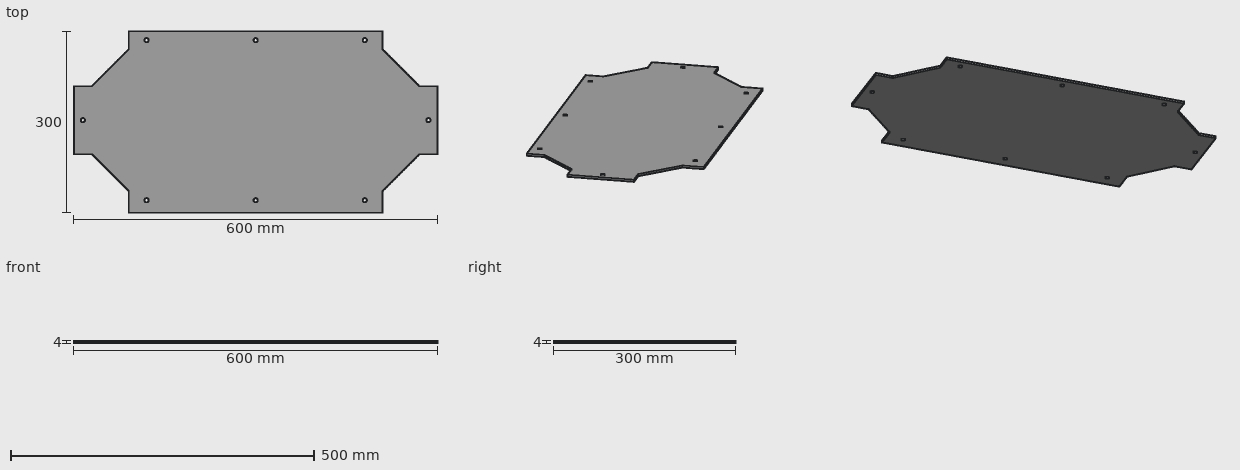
import cadquery as cq

length = 600.0
width = 300.0
thickness = 4.0

front_extension = 6.0
pattern_y = front_extension / 2

long_edge_half = 209.5
end_tab_half = 56.5
bevel = 60.5
half_length = length / 2
bevel_end_x = long_edge_half + bevel
bevel_start_y = end_tab_half + bevel

hole_diameter = 6.5
hole_edge_distance = 15.0
hole_spacing = 180.0
hole_row_y = width / 2 - hole_edge_distance - pattern_y
end_hole_x = half_length - hole_edge_distance


def plate():
    """Plate with a bevelled step at each of its four corners."""
    blank = cq.Workplane("XY").box(length, width, thickness)
    for side_x in (-1, 1):
        for side_y in (-1, 1):
            edge_y = side_y * width / 2
            tab_y = pattern_y + side_y * end_tab_half
            corner = (
                cq.Workplane("XY", origin=(0, 0, -thickness / 2))
                .moveTo(side_x * long_edge_half, edge_y)
                .lineTo(side_x * long_edge_half, pattern_y + side_y * bevel_start_y)
                .lineTo(side_x * bevel_end_x, tab_y)
                .lineTo(side_x * half_length, tab_y)
                .lineTo(side_x * half_length, edge_y)
                .close()
                .extrude(thickness)
            )
            blank = blank.cut(corner)
    return blank


def hole_positions():
    """Three holes along each long edge and one in each end tab."""
    rows = [
        (column * hole_spacing, pattern_y + side * hole_row_y)
        for side in (-1, 1)
        for column in (-1, 0, 1)
    ]
    ends = [(side * end_hole_x, pattern_y) for side in (-1, 1)]
    return rows + ends


result = (
    plate()
    .faces(">Z")
    .workplane(origin=(0, 0, 0))
    .pushPoints(hole_positions())
    .hole(hole_diameter)
)